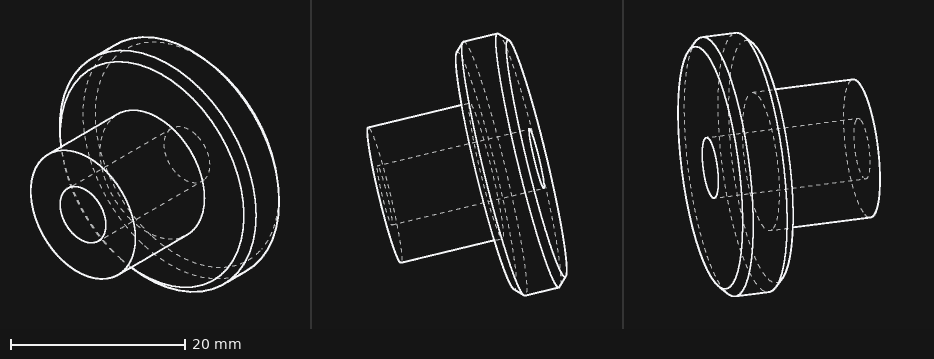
import cadquery as cq

flange_diameter = 30.0
flange_thickness = 6.0
flange_chamfer = 1.0
hub_diameter = 16.0
bore_diameter = 7.0
total_length = 18.0

hub_length = total_length - flange_thickness


def cylinder_along_y(diameter, start_y, length):
    """Solid cylinder on the Y axis, running from start_y toward +Y."""
    plane = cq.Workplane("XZ", origin=(0, start_y, 0))
    return plane.circle(diameter / 2).extrude(-length)


flange = cylinder_along_y(flange_diameter, 0, flange_thickness).edges().chamfer(flange_chamfer)

hub = cylinder_along_y(hub_diameter, -hub_length, hub_length)

bore = cylinder_along_y(bore_diameter, -hub_length, total_length)

result = flange.union(hub).cut(bore)